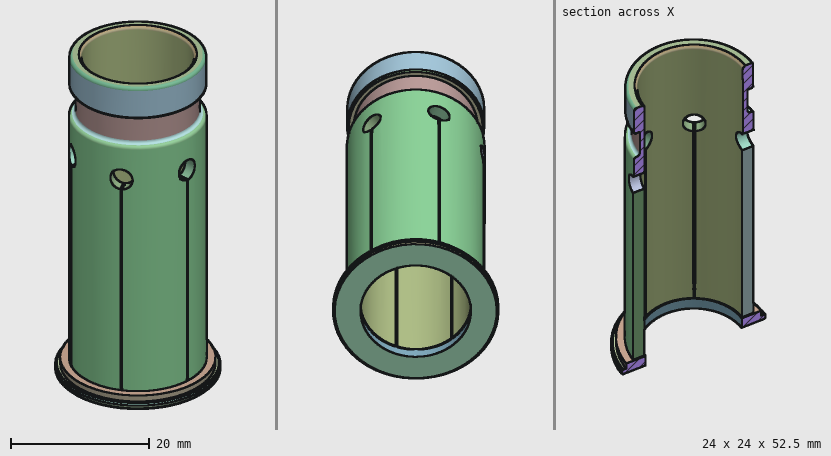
import math

import cadquery as cq

total_height = 52.5

rim_radius = 24.0 / 2
rim_height = 1.0
rim_chamfer = 0.25
step_radius = 22.5 / 2
step_top = 2 * rim_height

body_radius = 20.0 / 2
neck_radius = 18.0 / 2
shoulder_height = 43.2

head_radius = 19.9 / 2
head_height = 5.15
head_top_fillet = 0.5
head_bottom_chamfer = 0.25

bore_radius = 16.3 / 2
lip_radius = 16.0 / 2
mouth_chamfer = 0.4
mouth_fillet = 0.4

hole_count = 6
hole_diameter = 3.3
hole_height = 37.15
slot_width = 0.25
first_hole_angle = 30.0

half_arc = math.sqrt(0.5)


def make_outer_form():
    """Solid of revolution: flange, body, neck and head."""
    blend_radius = (body_radius - neck_radius) / 2
    blend_middle_radius = neck_radius + blend_radius
    blend_middle_height = shoulder_height - blend_radius
    body_top = blend_middle_height - blend_radius
    head_bottom = total_height - head_height
    head_fillet_radius = head_radius - head_top_fillet
    head_fillet_height = total_height - head_top_fillet

    profile = (
        cq.Workplane("XZ")
        .lineTo(rim_radius - rim_chamfer, 0)
        .lineTo(rim_radius, rim_chamfer)
        .lineTo(rim_radius, rim_height - rim_chamfer)
        .lineTo(rim_radius - rim_chamfer, rim_height)
        .lineTo(step_radius, rim_height)
        .lineTo(step_radius, step_top)
        .lineTo(body_radius, step_top)
        .lineTo(body_radius, body_top)
        .threePointArc(
            (blend_middle_radius + blend_radius * half_arc, body_top + blend_radius * half_arc),
            (blend_middle_radius, blend_middle_height),
        )
        .threePointArc(
            (blend_middle_radius - blend_radius * half_arc, shoulder_height - blend_radius * half_arc),
            (neck_radius, shoulder_height),
        )
        .lineTo(neck_radius, head_bottom)
        .lineTo(head_radius - head_bottom_chamfer, head_bottom)
        .lineTo(head_radius, head_bottom + head_bottom_chamfer)
        .lineTo(head_radius, head_fillet_height)
        .threePointArc(
            (head_fillet_radius + head_top_fillet * half_arc, head_fillet_height + head_top_fillet * half_arc),
            (head_fillet_radius, total_height),
        )
        .lineTo(0, total_height)
        .close()
    )
    return profile.revolve(360, (0, 0, 0), (0, 1, 0))


def make_bore():
    """Bore with a flared, softened mouth and a slightly tighter lip inside the flange."""
    tangent_length = mouth_fillet * math.tan(math.radians(22.5))
    fillet_bottom = total_height - mouth_chamfer - tangent_length
    fillet_center_radius = bore_radius + mouth_fillet
    middle_angle = math.radians(22.5)
    mouth_radius = bore_radius + mouth_chamfer

    profile = (
        cq.Workplane("XZ")
        .lineTo(lip_radius, 0)
        .lineTo(lip_radius, step_top)
        .lineTo(bore_radius, step_top)
        .lineTo(bore_radius, fillet_bottom)
        .threePointArc(
            (
                fillet_center_radius - mouth_fillet * math.cos(middle_angle),
                fillet_bottom + mouth_fillet * math.sin(middle_angle),
            ),
            (
                fillet_center_radius - mouth_fillet * half_arc,
                fillet_bottom + mouth_fillet * half_arc,
            ),
        )
        .lineTo(mouth_radius, total_height)
        .lineTo(0, total_height)
        .close()
    )
    return profile.revolve(360, (0, 0, 0), (0, 1, 0))


def make_relief_cutter():
    """One hole and its slot, cutting the wall on the +X side only."""
    reach = 2 * body_radius
    hole = cq.Workplane("YZ").center(0, hole_height).circle(hole_diameter / 2).extrude(reach)
    slot = cq.Workplane("XY").workplane(offset=step_top)
    slot = slot.center(reach / 2, 0).rect(reach, slot_width).extrude(hole_height - step_top)
    return hole.union(slot)


result = make_outer_form().cut(make_bore())

relief_cutter = make_relief_cutter()
for index in range(hole_count):
    angle = first_hole_angle + index * 360 / hole_count
    result = result.cut(relief_cutter.rotate((0, 0, 0), (0, 0, 1), angle))